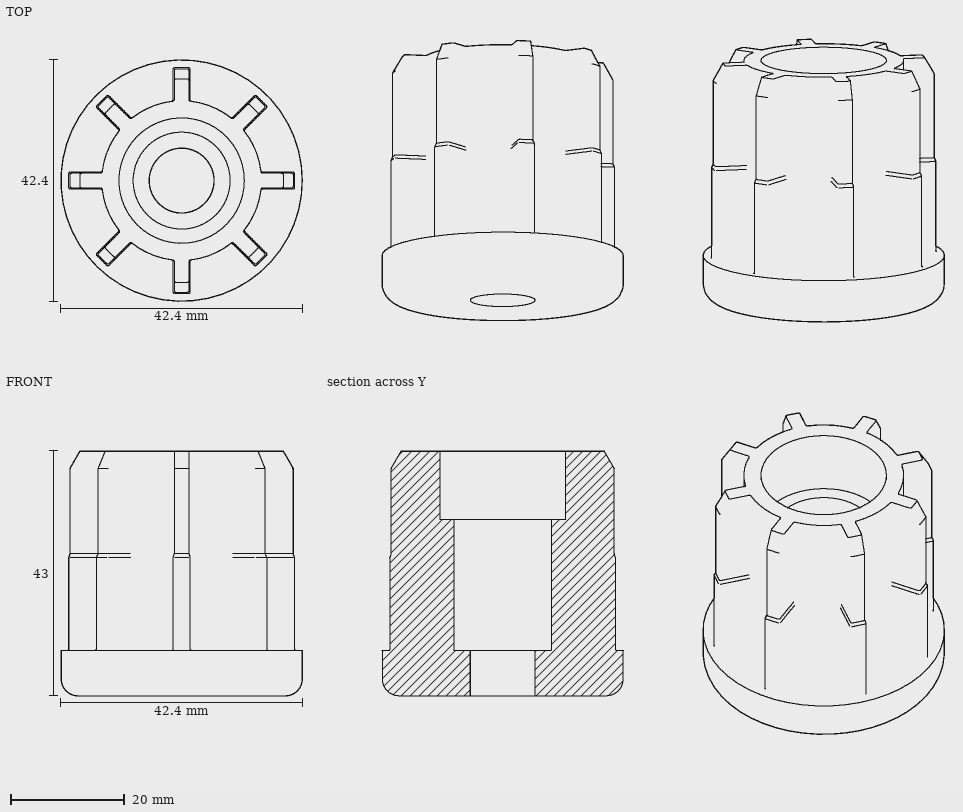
import cadquery as cq
import math

height = 43.0
flange_radius = 21.2
flange_height = 8.0
flange_round = 3.0
tube_radius = 14.0

mouth_radius = 11.0
mouth_depth = 12.0
middle_radius = 8.5
hole_radius = 5.68

rib_count = 8
upper_reach = 19.6
upper_half_width = 1.3
lower_growth = 0.2
taper_bottom = 24.35
taper_height = 0.65
taper_top = taper_bottom + taper_height
tip_drop = 3.0
tip_inset = tip_drop * math.tan(math.radians(30))

small_round = 0.3

tolerance = 0.0005


def z_range(edge):
    """Lowest and highest Z of an edge."""
    heights = (edge.startPoint().z, edge.endPoint().z)
    return min(heights), max(heights)


def axis_distance(edge):
    """Distance from the tube axis to the middle of an edge."""
    middle = edge.positionAt(0.5)
    return math.hypot(middle.x, middle.y)


def rib_section(z, growth):
    """Rectangle from the tube axis to the outer end of the rib along +X."""
    reach = upper_reach + growth
    width = 2 * (upper_half_width + growth)
    return cq.Workplane("XY", origin=(reach / 2, 0, z)).rect(reach, width)


def make_rib():
    """Rib along +X with a sloped tip and rounded outer edges."""
    lower = rib_section(flange_height, lower_growth).extrude(taper_bottom - flange_height)
    taper_start = rib_section(taper_bottom, lower_growth).wires().val()
    taper_end = rib_section(taper_top, 0).wires().val()
    taper = cq.Workplane(cq.Solid.makeLoft([taper_start, taper_end], True))
    upper = rib_section(taper_top, 0).extrude(height - taper_top)
    tip_cut = (
        cq.Workplane("XZ")
        .moveTo(upper_reach, height)
        .lineTo(upper_reach - tip_inset, height)
        .lineTo(upper_reach, height - tip_drop)
        .close()
        .extrude(2 * upper_half_width, both=True)
    )
    rib = lower.union(taper).union(upper).cut(tip_cut)

    outer_edges = []
    for edge in rib.edges().vals():
        bottom, top = z_range(edge)
        if top - bottom > tolerance and axis_distance(edge) > tube_radius:
            outer_edges.append(edge)
    return rib.newObject(outer_edges).fillet(small_round)


def make_flange():
    """Disc with a rounded lower rim."""
    disc = cq.Workplane("XY").circle(flange_radius).extrude(flange_height)
    return disc.faces("<Z").edges().fillet(flange_round)


def round_rib_roots(solid):
    """Fillet the upright inside corners between the ribs and the tube."""
    roots = []
    for edge in solid.edges().vals():
        bottom, top = z_range(edge)
        upright = top - bottom > tolerance
        above_flange = bottom > flange_height - tolerance
        if upright and above_flange and axis_distance(edge) < tube_radius + tolerance:
            roots.append(edge)
    return solid.newObject(roots).fillet(small_round)


def round_foot(solid):
    """Fillet the inside corner where the tube and ribs stand on the flange."""
    foot = []
    for edge in solid.edges().vals():
        bottom, top = z_range(edge)
        on_flange = abs(bottom - flange_height) < tolerance and abs(top - flange_height) < tolerance
        if on_flange and axis_distance(edge) < flange_radius - tolerance:
            foot.append(edge)
    return solid.newObject(foot).fillet(small_round)


def bore(solid, radius, floor):
    """Cut a round bore from the top down to the given Z."""
    cutter = cq.Workplane("XY", origin=(0, 0, floor)).circle(radius).extrude(height - floor)
    return solid.cut(cutter)


body = cq.Workplane("XY").circle(tube_radius).extrude(height)
rib = make_rib()
for index in range(rib_count):
    body = body.union(rib.rotate((0, 0, 0), (0, 0, 1), index * 360 / rib_count))
body = body.union(make_flange())

body = round_rib_roots(body)
body = round_foot(body)

body = bore(body, mouth_radius, height - mouth_depth)
body = bore(body, middle_radius, flange_height)
result = bore(body, hole_radius, 0)